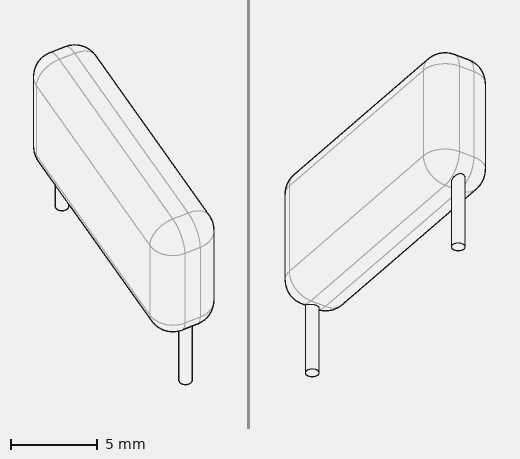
import cadquery as cq

body_length = 17.0
body_width = 4.0
body_height = 9.0
edge_radius = 1.5

lead_diameter = 0.8
lead_spacing = 15.25
lead_length = 4.5


def make_body():
    """Block with every edge rounded by the same radius."""
    block = cq.Workplane("XY").box(
        body_length, body_width, body_height, centered=(True, True, False)
    )
    return block.edges().fillet(edge_radius)


def make_leads():
    """Leads that run up past the rounded lower edge into the body."""
    return (
        cq.Workplane("XY", origin=(0, 0, -lead_length))
        .rarray(lead_spacing, 0.17, 2, 1)
        .circle(lead_diameter / 2)
        .extrude(lead_length + edge_radius)
    )


result = make_body().union(make_leads())